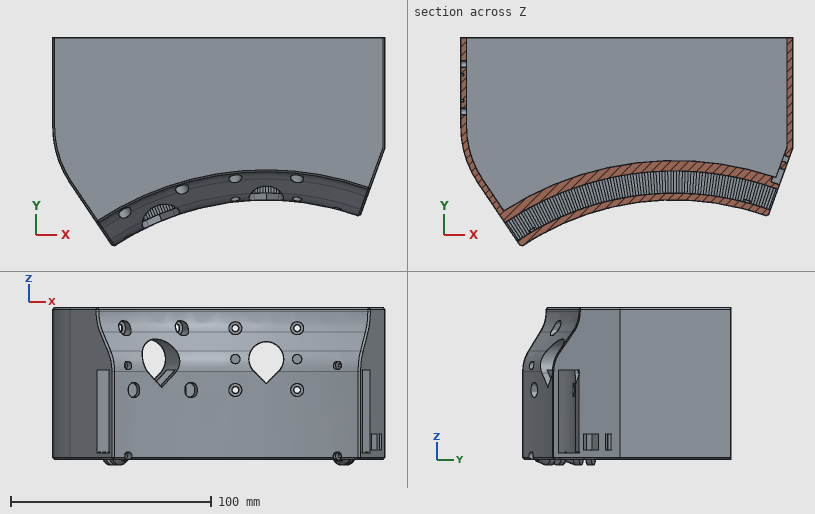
import cadquery as cq
import math

WIDTH = 166.0
HEIGHT = 76.0
WALL = 3.0
EDGE_CHAMFER = 1.0
TOLERANCE = 0.02
CUT_CLEARANCE = 3.3
HALF_WIDTH = WIDTH / 2

AXIS_X = 23.7
AXIS_Y = -218.2
FRONT_RADIUS = 137.0
LEFT_ANGLE = -34.0
RIGHT_ANGLE = 20.0
LEFT_BEND_RADIUS = 50.6

STEP_START_Z = 44.0
STEP_DEPTH = 14.1
STEP_ARC_RADIUS = 16.6
STEP_ARC_HEIGHT = 10.3
STEP_STRAIGHT_HEIGHT = 9.5

SKIN = 3.5
SLOT_DEPTH = 11.0
SLOT_BOTTOM = 3.3
SLOT_TOP = 44.7
SLOT_INNER_RADIUS = FRONT_RADIUS + SKIN
SLOT_OUTER_RADIUS = SLOT_INNER_RADIUS + SLOT_DEPTH
GROOVE_PITCH_ANGLE = 1.1
FLOOR_GROOVE_WIDTH = 1.3
FLOOR_GROOVE_DEPTH = 0.3
PARTITION = 5.3
INSIDE_RADIUS = SLOT_OUTER_RADIUS + PARTITION

LENSES = (
    (-22.4, 20.0, 1.0, False),
    (0.0, 17.3, 0.0, True),
)
LENS_Z = 50.1
MOUNT_SPACING = 30.9
MOUNT_HOLE = 3.3
MOUNT_ACCESS_HOLE = 6.5
MOUNT_LIP = 1.5
PIN_HOLE = 4.6

BOSS_ANGLES = (-30.2, 15.0)
BOSS_LOW_Z = 1.7
BOSS_HIGH_Z = 47.0
BOSS_DIAMETER = 9.0
BOSS_HEAD_HOLE = 4.2
BOSS_PILOT_HOLE = 1.8
BOSS_HEAD_DEPTH = 4.6
BOSS_TIP_DIAMETER = 5.3
BOSS_CONE_LENGTH = 5.0
BOSS_END = 154.7
NUT_GAP_START = 148.5
NUT_GAP_END = 151.9

FAN_Y = -25.0
FAN_Z = 23.9
FAN_HOLE = 3.2
FAN_HOLE_SPACING = 23.7
FAN_PANEL_HEIGHT = 23.7
PANEL_SIDE_GAP = 1.0
PANEL_FLAT_GAP = 0.25
PANEL_GROOVE_DEPTH = WALL / 2

PORT_BOTTOM = 4.6
PORT_TOP = 12.6
PORT_X_RANGES = ((76.4, 79.0), (80.4, 81.3))


def polar(radius, angle):
    """Point at a distance from the front axis; angle 0 is +Y and positive angles go to +X."""
    a = math.radians(angle)
    return (AXIS_X + radius * math.sin(a), AXIS_Y + radius * math.cos(a))


def radius_at_x(x, angle):
    """Distance from the front axis to where the ray at the angle reaches x."""
    return (x - AXIS_X) / math.sin(math.radians(angle))


def radial_plane(angle, z):
    """Plane through the front axis, facing away from it at the angle, with its local Y upward."""
    a = math.radians(angle)
    return cq.Plane(
        origin=(AXIS_X, AXIS_Y, z),
        xDir=(-math.cos(a), math.sin(a), 0),
        normal=(math.sin(a), math.cos(a), 0),
    )


def rod(angle, z, across, diameter, start, end, stretch=0):
    """Cylinder along a radial direction, shifted sideways and optionally stretched along Z."""
    plane = cq.Workplane(radial_plane(angle, z)).workplane(offset=start)
    section = plane.center(-across, 0)
    if stretch > 0:
        return section.slot2D(diameter + stretch, diameter, 90).extrude(end - start)
    return section.circle(diameter / 2).extrude(end - start)


def ring(inner, outer, bottom, top):
    """Full ring about the front axis."""
    base = cq.Workplane("XY", origin=(AXIS_X, AXIS_Y, bottom))
    return base.circle(outer).circle(inner).extrude(top - bottom)


def outline(front_radius, inset):
    """Plan outline, with the sides moved inward by `inset` and the front at `front_radius`."""
    bend_radius = LEFT_BEND_RADIUS - inset
    bend_center_x = -HALF_WIDTH + LEFT_BEND_RADIUS
    left = math.radians(-LEFT_ANGLE)
    right = math.radians(RIGHT_ANGLE)
    bend_end_x = bend_center_x - LEFT_BEND_RADIUS * math.cos(left)
    bend_end_y = polar(radius_at_x(bend_end_x, LEFT_ANGLE), LEFT_ANGLE)[1]
    bend_center_y = bend_end_y + LEFT_BEND_RADIUS * math.sin(left)

    def bend(angle):
        x = bend_center_x - bend_radius * math.cos(angle)
        y = bend_center_y - bend_radius * math.sin(angle)
        return (x, y)

    def front_point(end_angle, side):
        shift = side * math.degrees(math.asin(inset / front_radius))
        return polar(front_radius, end_angle + shift)

    front_left = front_point(LEFT_ANGLE, 1)
    front_right = front_point(RIGHT_ANGLE, -1)
    front_middle = polar(front_radius, (LEFT_ANGLE + RIGHT_ANGLE) / 2)
    corner_x = HALF_WIDTH - inset
    corner_radius = (corner_x - AXIS_X + inset * math.cos(right)) / math.sin(right)
    corner_y = AXIS_Y + corner_radius * math.cos(right) + inset * math.sin(right)
    return (
        cq.Workplane("XY")
        .moveTo(-corner_x, 0)
        .lineTo(*bend(0))
        .threePointArc(bend(left / 2), bend(left))
        .lineTo(*front_left)
        .threePointArc(front_middle, front_right)
        .lineTo(corner_x, corner_y)
        .lineTo(corner_x, 0)
        .close()
    )


def front_step():
    """Turned cutter that sets the upper front back along an S-shaped profile."""
    lean = math.asin(STEP_ARC_HEIGHT / STEP_ARC_RADIUS)
    arc_depth = STEP_ARC_RADIUS * (1 - math.cos(lean))
    half_depth = STEP_ARC_RADIUS * (1 - math.cos(lean / 2))
    half_height = STEP_ARC_RADIUS * math.sin(lean / 2)
    back = FRONT_RADIUS + STEP_DEPTH
    z1 = STEP_START_Z + STEP_ARC_HEIGHT
    z2 = z1 + STEP_STRAIGHT_HEIGHT
    z3 = z2 + STEP_ARC_HEIGHT
    clear = HEIGHT + CUT_CLEARANCE
    inner = FRONT_RADIUS / 2
    lower_middle = (FRONT_RADIUS + half_depth, STEP_START_Z + half_height)
    upper_middle = (back - half_depth, z3 - half_height)
    return (
        cq.Workplane("XZ", origin=(AXIS_X, AXIS_Y, 0))
        .moveTo(inner, STEP_START_Z)
        .lineTo(FRONT_RADIUS, STEP_START_Z)
        .threePointArc(lower_middle, (FRONT_RADIUS + arc_depth, z1))
        .lineTo(back - arc_depth, z2)
        .threePointArc(upper_middle, (back, z3))
        .lineTo(back, clear)
        .lineTo(inner, clear)
        .close()
        .revolve(360, (0, 0, 0), (0, 1, 0))
    )


def on_rim(edge):
    """True for the outer edges that are chamfered: top, bottom and the ends of the front."""
    box = edge.BoundingBox()
    if box.ymin > -TOLERANCE:
        return False
    if box.zmax - box.zmin < TOLERANCE:
        return abs(box.zmin) < TOLERANCE or abs(box.zmax - HEIGHT) < TOLERANCE
    middle = edge.positionAt(0.5)
    radius = math.hypot(middle.x - AXIS_X, middle.y - AXIS_Y)
    return radius < FRONT_RADIUS + STEP_DEPTH + TOLERANCE


def housing():
    """Hollow shell with chamfered rims, open at the back, with a thick block behind the front."""
    body = outline(FRONT_RADIUS, 0).extrude(HEIGHT).cut(front_step())
    rim = [edge for edge in body.edges().vals() if on_rim(edge)]
    body = body.newObject(rim).chamfer(EDGE_CHAMFER)
    inside = outline(INSIDE_RADIUS, WALL).extrude(HEIGHT - 2 * WALL).translate((0, 0, WALL))
    return body.cut(inside)


def curved_slot():
    """Slot behind the front skin, with evenly spaced radial grooves in its floor."""
    slot = ring(SLOT_INNER_RADIUS, SLOT_OUTER_RADIUS, SLOT_BOTTOM, SLOT_TOP)
    count = int((RIGHT_ANGLE - LEFT_ANGLE) / GROOVE_PITCH_ANGLE)
    middle = (SLOT_INNER_RADIUS + SLOT_OUTER_RADIUS) / 2
    margin = (RIGHT_ANGLE - LEFT_ANGLE - (count - 1) * GROOVE_PITCH_ANGLE) / 2
    grooves = []
    for index in range(count):
        angle = LEFT_ANGLE + margin + index * GROOVE_PITCH_ANGLE
        x, y = polar(middle, angle)
        groove = cq.Workplane("XY").box(FLOOR_GROOVE_WIDTH, SLOT_DEPTH, 2 * FLOOR_GROOVE_DEPTH)
        grooves.append(groove.rotate((0, 0, 0), (0, 0, 1), -angle).translate((x, y, SLOT_BOTTOM)).val())
    return slot.union(cq.Workplane(cq.Compound.makeCompound(grooves)))


def lens_opening(angle, diameter):
    """Round opening with a 45 degree point at the bottom."""
    radius = diameter / 2
    side = radius / math.sqrt(2)
    start = FRONT_RADIUS - CUT_CLEARANCE
    return (
        cq.Workplane(radial_plane(angle, LENS_Z))
        .workplane(offset=start)
        .moveTo(-side, -side)
        .threePointArc((0, radius), (side, -side))
        .lineTo(0, -radius * math.sqrt(2))
        .close()
        .extrude(INSIDE_RADIUS + CUT_CLEARANCE - start)
    )


def lens_cuts(angle, diameter, stretch, has_pins):
    """Lens opening, its four stepped mounting holes and two optional blind pin holes."""
    cuts = lens_opening(angle, diameter)
    half = MOUNT_SPACING / 2
    lip = INSIDE_RADIUS - MOUNT_LIP
    through = INSIDE_RADIUS + CUT_CLEARANCE
    start = FRONT_RADIUS - CUT_CLEARANCE
    for across in (-half, half):
        for z in (LENS_Z - half, LENS_Z + half):
            cuts = cuts.union(rod(angle, z, across, MOUNT_ACCESS_HOLE, start, lip, stretch))
            cuts = cuts.union(rod(angle, z, across, MOUNT_HOLE, start, through, stretch))
        if has_pins:
            cuts = cuts.union(rod(angle, LENS_Z, across, PIN_HOLE, start, SLOT_OUTER_RADIUS))
    return cuts


def boss(angle, z):
    """Cone and cylinder in front of the nut gap, and a short cylinder behind it."""
    cone_end = SLOT_INNER_RADIUS + BOSS_CONE_LENGTH
    cone = (
        cq.Workplane(radial_plane(angle, z))
        .workplane(offset=SLOT_INNER_RADIUS)
        .circle(BOSS_TIP_DIAMETER / 2)
        .workplane(offset=BOSS_CONE_LENGTH)
        .circle(BOSS_DIAMETER / 2)
        .loft()
    )
    front = rod(angle, z, 0, BOSS_DIAMETER, cone_end, NUT_GAP_START)
    back = rod(angle, z, 0, BOSS_DIAMETER, NUT_GAP_END, BOSS_END)
    return cone.union(front).union(back)


def boss_cuts(angle, z):
    """Screw head hole in the skin and the pilot hole that reaches through the nut gap."""
    start = FRONT_RADIUS - CUT_CLEARANCE
    head = rod(angle, z, 0, BOSS_HEAD_HOLE, start, FRONT_RADIUS + BOSS_HEAD_DEPTH)
    return head.union(rod(angle, z, 0, BOSS_PILOT_HOLE, start, NUT_GAP_END))


def fan_panel():
    """Grooves that outline two half-hexagons, and the four screw holes around them."""
    flat = FAN_PANEL_HEIGHT / 2
    corner = FAN_PANEL_HEIGHT / math.sqrt(3)
    face = cq.Workplane("YZ", origin=(-HALF_WIDTH, FAN_Y, FAN_Z))
    grooves = face.polygon(6, 2 * corner).extrude(PANEL_GROOVE_DEPTH)
    edge_z = flat - PANEL_FLAT_GAP
    split_z = PANEL_FLAT_GAP / 2
    long_half = corner - PANEL_SIDE_GAP
    short_half = corner / 2 - PANEL_SIDE_GAP
    for side in (-1, 1):
        half_hexagon = [
            (-long_half, side * split_z),
            (long_half, side * split_z),
            (short_half, side * edge_z),
            (-short_half, side * edge_z),
        ]
        grooves = grooves.cut(face.polyline(half_hexagon).close().extrude(PANEL_GROOVE_DEPTH))
    holes = face.rect(FAN_HOLE_SPACING, FAN_HOLE_SPACING, forConstruction=True).vertices()
    return grooves.union(holes.circle(FAN_HOLE / 2).extrude(2 * WALL))


def port(x_near, x_far):
    """Rectangular opening through the right slanted side between two places along X."""
    near = radius_at_x(x_near, RIGHT_ANGLE)
    far = radius_at_x(x_far, RIGHT_ANGLE)
    plane = radial_plane(RIGHT_ANGLE, (PORT_BOTTOM + PORT_TOP) / 2)
    height = PORT_TOP - PORT_BOTTOM
    return cq.Workplane(plane).workplane(offset=near).rect(3 * WALL, height).extrude(far - near)


result = housing()
for boss_angle in BOSS_ANGLES:
    for boss_z in (BOSS_LOW_Z, BOSS_HIGH_Z):
        result = result.union(boss(boss_angle, boss_z)).cut(boss_cuts(boss_angle, boss_z))
result = result.cut(curved_slot())
for lens in LENSES:
    result = result.cut(lens_cuts(*lens))
result = result.cut(fan_panel())
for port_range in PORT_X_RANGES:
    result = result.cut(port(*port_range))